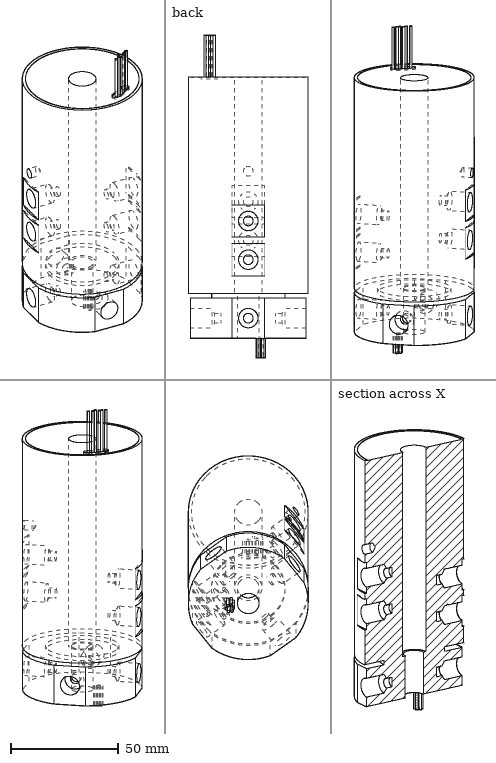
import cadquery as cq
import math

lower_wire_length = 9.0
flange_height = 19.0
neck_height = 2.0
body_height = 101.0
upper_wire_length = 19.5

flange_bottom = lower_wire_length
flange_top = flange_bottom + flange_height
body_bottom = flange_top + neck_height
body_top = body_bottom + body_height
upper_wire_top = body_top + upper_wire_length

outer_radius = 28.0
neck_diameter = 34.3
body_bore_diameter = 12.8
flange_bore_diameter = 10.1
cap_diameter = 53.0
cap_recess = 0.2

pad_size = 15.0
flat_distance = math.sqrt(outer_radius**2 - (pad_size / 2) ** 2)
port_diameter = 9.0
port_depth = 10.0
channel_diameter = 4.5
channel_depth = 3.0
drill_tip_angle = 118.0

port_pitch = 18.0
lower_port_height = 54.8
front_port_heights = [lower_port_height, lower_port_height + port_pitch]
back_port_drop = port_pitch / 2
flange_port_height = flange_bottom + flange_height / 2

pilot_diameter = 4.5
pilot_depth = 4.5
pilot_above_port = 14.1
pilot_height = front_port_heights[-1] + pilot_above_port

outlet_angle = 30.0
outlet_radius = 21.0
outlet_length = 12.0
outlet_width = 3.6
outlet_depth = 0.8

wire_diameter = 1.2
upper_wire_offsets = [(0, 4.8), (0.2, 2.9), (0.5, 1.5), (-0.9, 0), (0.2, -1.5), (0, -3.8)]
lower_bundle_x = -5.9
lower_bundle_y = 6.3
lower_bundle_radius = 1.7
lower_wire_count = 6


def cylinder(diameter, bottom, height):
    """Upright cylinder on the Z axis."""
    return cq.Workplane("XY").workplane(offset=bottom).circle(diameter / 2).extrude(height)


def tip_length(large_diameter, small_diameter=0.0):
    """Length of the cone a drill leaves between two diameters."""
    return (large_diameter - small_diameter) / 2 / math.tan(math.radians(drill_tip_angle / 2))


def side_cutter(profile, distance, height, angle):
    """Revolve a (radius, depth) profile about a level axis that enters the -Y side,
    then turn it about Z by the given angle."""
    points = [(radius, depth - distance) for radius, depth in profile]
    cutter = cq.Workplane("XY").polyline(points).close().revolve(360, (0, 0), (0, 1))
    return cutter.translate((0, 0, height)).rotate((0, 0, 0), (0, 0, 1), angle)


def port(height, angle):
    """Drilled port that narrows through a drill cone to a blind channel."""
    cone_end = port_depth + tip_length(port_diameter, channel_diameter)
    channel_end = cone_end + channel_depth
    profile = [
        (0, 0),
        (port_diameter / 2, 0),
        (port_diameter / 2, port_depth),
        (channel_diameter / 2, cone_end),
        (channel_diameter / 2, channel_end),
        (0, channel_end),
    ]
    return side_cutter(profile, flat_distance, height, angle)


def flat(center_height, height, angle):
    """Block that mills a flat as wide as a pad on one side."""
    depth = outer_radius - flat_distance
    block = cq.Workplane("XY").box(pad_size, 2 * depth, height)
    block = block.translate((0, -flat_distance - depth, center_height))
    return block.rotate((0, 0, 0), (0, 0, 1), angle)


def wire(x, y, bottom, length):
    return cq.Workplane("XY", origin=(x, y, bottom)).circle(wire_diameter / 2).extrude(length)


flange = cylinder(2 * outer_radius, flange_bottom, flange_height)
for side in range(4):
    flange = flange.cut(flat(flange_port_height, flange_height, 90 * side))
    flange = flange.cut(port(flange_port_height, 90 * side))

body = cylinder(2 * outer_radius, body_bottom, body_height)
for front_height in front_port_heights:
    for height, angle in [(front_height, 0), (front_height - back_port_drop, 180)]:
        body = body.cut(flat(height, pad_size, angle))
        body = body.cut(port(height, angle))

pilot_profile = [
    (0, 0),
    (pilot_diameter / 2, 0),
    (pilot_diameter / 2, pilot_depth),
    (0, pilot_depth + tip_length(pilot_diameter)),
]
body = body.cut(side_cutter(pilot_profile, outer_radius, pilot_height, 0))

cap_face = body_top - cap_recess
outlet_floor = cap_face - outlet_depth
body = body.cut(cylinder(cap_diameter, cap_face, cap_recess))
outlet = cq.Workplane("XY", origin=(outlet_radius, 0, outlet_floor)).slot2D(outlet_length, outlet_width, 90)
outlet = outlet.extrude(outlet_depth)
body = body.cut(outlet.rotate((0, 0, 0), (0, 0, 1), outlet_angle))

neck = cylinder(neck_diameter, flange_top, neck_height)
result = flange.union(neck).union(body)
result = result.cut(cylinder(body_bore_diameter, body_bottom, body_height))
result = result.cut(cylinder(flange_bore_diameter, flange_bottom, flange_height + neck_height))

for outward, sideways in upper_wire_offsets:
    strand = wire(outlet_radius + outward, sideways, outlet_floor, upper_wire_top - outlet_floor)
    result = result.union(strand.rotate((0, 0, 0), (0, 0, 1), outlet_angle))

for index in range(lower_wire_count):
    angle = 2 * math.pi * index / lower_wire_count
    x = lower_bundle_x + lower_bundle_radius * math.cos(angle)
    y = lower_bundle_y + lower_bundle_radius * math.sin(angle)
    result = result.union(wire(x, y, 0, lower_wire_length))